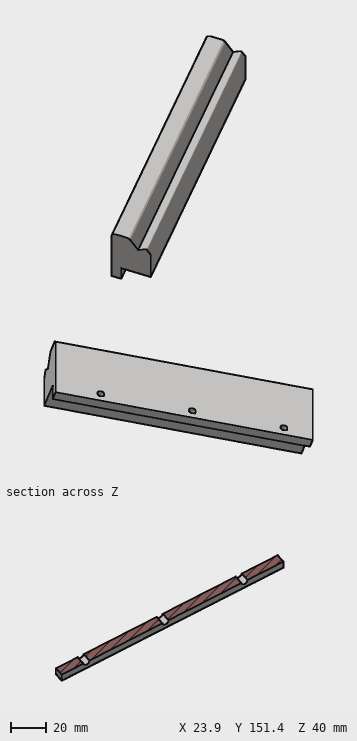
import cadquery as cq
import math

length = 151.4
width = 23.9
height = 40.0

flange_thickness = 6.0
flange_depth = 10.0

slope_angle = math.radians(56.3)
top_width = 10.7
groove_depth = 8.3
lip_run = 4.8

top_radius = 3.0
lip_radius = 1.0

hole_diameter = 4.0
hole_spacing = 53.9
hole_row_offset = -4.8
hole_height = 5.1

left = -width / 2
right = width / 2
bottom = -height / 2
top = height / 2
shoulder_z = bottom + flange_depth

groove_top_x = left + top_width
groove_x = groove_top_x + groove_depth / math.tan(slope_angle)
groove_z = top - groove_depth
lip_x = groove_x + lip_run
lip_z = groove_z + lip_run / math.tan(slope_angle)
lip_end_z = lip_z - (right - lip_x) * math.tan(slope_angle)


def make_bar():
    """Extrude the cross-section over the whole length."""
    outline = [
        (left, bottom),
        (left, top),
        (groove_top_x, top),
        (groove_x, groove_z),
        (lip_x, lip_z),
        (right, lip_end_z),
        (right, shoulder_z),
        (left + flange_thickness, shoulder_z),
        (left + flange_thickness, bottom),
    ]
    section = cq.Workplane("XZ").polyline(outline).close()
    return section.extrude(length / 2, both=True)


def round_edge(body, x, z, radius):
    """Round the lengthwise edge that passes through (x, z)."""
    edge = body.edges(cq.selectors.NearestToPointSelector((x, 0, z)))
    return edge.fillet(radius)


def make_holes():
    """Row of pins that cut the mounting holes across the flange."""
    positions = [
        (hole_row_offset + step * hole_spacing, bottom + hole_height)
        for step in (-1, 0, 1)
    ]
    return (
        cq.Workplane("YZ", origin=(left, 0, 0))
        .pushPoints(positions)
        .circle(hole_diameter / 2)
        .extrude(flange_thickness)
    )


body = make_bar()
for edge_x, edge_z, radius in [
    (left, top, top_radius),
    (groove_top_x, top, top_radius),
    (lip_x, lip_z, lip_radius),
    (right, lip_end_z, lip_radius),
]:
    body = round_edge(body, edge_x, edge_z, radius)

result = body.cut(make_holes())